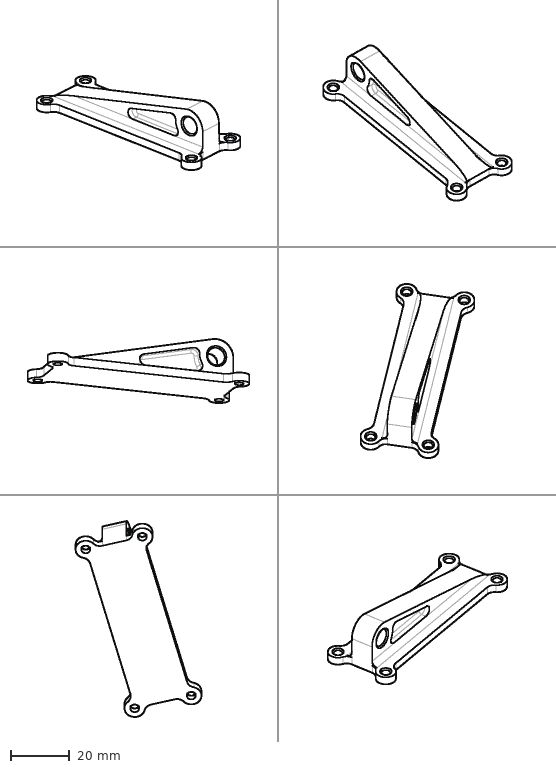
import cadquery as cq
import math

length = 73.0
width = 27.0
height = 17.1
plate_thickness = 3.0
ear_radius = 3.5
ear_blend_radius = 3.0
plate_half_length = length / 2 - ear_radius
plate_half_width = width / 2 - ear_radius
ear_hole_diameter = 3.0
hole_chamfer = 0.5
countersink_angle = 90

web_thickness = 8.5
foot_radius = 2.0
tip_height = 0.15
boss_radius = 6.1
cross_hole_diameter = 6.2
boss_x = plate_half_length - boss_radius
boss_z = height - boss_radius
tip_x = -plate_half_length
tip_z = plate_thickness + tip_height

pocket_depth = 3.0
pocket_margin = 2.1
pocket_corner_radius = 2.0
pocket_floor_radius = 1.0
pocket_bottom_z = plate_thickness + foot_radius

tip_to_boss = math.hypot(boss_x - tip_x, boss_z - tip_z)
slope_angle = math.atan2(boss_z - tip_z, boss_x - tip_x) + math.asin(boss_radius / tip_to_boss)


def boss_point(radius, angle):
    """Point at the given radius and angle around the cross hole axis."""
    return boss_x + radius * math.cos(angle), boss_z + radius * math.sin(angle)


def make_plate():
    plate = cq.Workplane("XY").box(
        2 * plate_half_length, 2 * plate_half_width, plate_thickness, centered=(True, True, False)
    )
    ears = (
        cq.Workplane("XY")
        .rect(2 * plate_half_length, 2 * plate_half_width, forConstruction=True)
        .vertices()
        .circle(ear_radius)
        .extrude(plate_thickness)
    )
    blend_reach = math.sqrt((ear_radius + ear_blend_radius) ** 2 - ear_blend_radius**2)
    touch_ratio = ear_radius / (ear_radius + ear_blend_radius)
    touch_along = blend_reach * touch_ratio
    touch_out = ear_blend_radius * touch_ratio
    half_turn = math.atan2(blend_reach, ear_blend_radius) / 2
    middle_along = blend_reach - ear_blend_radius * math.sin(half_turn)
    middle_out = ear_blend_radius * (1 - math.cos(half_turn))
    side_blend = (
        cq.Workplane("XY")
        .lineTo(-blend_reach, 0)
        .threePointArc((-middle_along, middle_out), (-touch_along, touch_out))
        .close()
        .extrude(plate_thickness)
    )
    end_blend = (
        cq.Workplane("XY")
        .lineTo(0, -blend_reach)
        .threePointArc((middle_out, -middle_along), (touch_out, -touch_along))
        .close()
        .extrude(plate_thickness)
    )
    for blend in (side_blend, end_blend):
        corner = blend.translate((plate_half_length, plate_half_width, 0))
        both_ends = corner.union(corner.mirror("YZ"))
        plate = plate.union(both_ends).union(both_ends.mirror("XZ"))
    return plate.union(ears)


def make_web():
    half_web = web_thickness / 2
    half_foot = half_web + foot_radius
    foot_top = plate_thickness + foot_radius
    section = (
        cq.Workplane("YZ", origin=(-plate_half_length, 0, 0))
        .moveTo(-half_foot, 0)
        .lineTo(half_foot, 0)
        .lineTo(half_foot, plate_thickness)
        .radiusArc((half_web, foot_top), foot_radius)
        .lineTo(half_web, height)
        .lineTo(-half_web, height)
        .lineTo(-half_web, foot_top)
        .radiusArc((-half_foot, plate_thickness), foot_radius)
        .close()
        .extrude(2 * plate_half_length)
    )
    profile = (
        cq.Workplane("XZ")
        .moveTo(tip_x, 0)
        .lineTo(plate_half_length, 0)
        .lineTo(plate_half_length, boss_z)
        .threePointArc(
            boss_point(boss_radius, (slope_angle + math.pi / 2) / 2),
            boss_point(boss_radius, slope_angle + math.pi / 2),
        )
        .lineTo(tip_x, tip_z)
        .close()
        .extrude(half_foot, both=True)
    )
    return section.intersect(profile)


def make_pocket():
    """Pocket cutter for the -Y face, its upper edge parallel to the slope."""
    margin_end = boss_point(boss_radius - pocket_margin, slope_angle + math.pi / 2)
    corner_x = margin_end[0] - (margin_end[1] - pocket_bottom_z) / math.tan(slope_angle)
    face = cq.Workplane("XZ", origin=(0, pocket_depth - web_thickness / 2, 0))
    wedge = (
        face.moveTo(corner_x, pocket_bottom_z)
        .lineTo(boss_x, pocket_bottom_z)
        .lineTo(boss_x, boss_z)
        .lineTo(*margin_end)
        .close()
        .extrude(pocket_depth)
    )
    boss = face.center(boss_x, boss_z).circle(boss_radius).extrude(pocket_depth)
    pocket = wedge.cut(boss).edges("|Y").fillet(pocket_corner_radius)
    return pocket.faces(">Y").edges().fillet(pocket_floor_radius)


def make_cross_hole():
    """Through hole along Y, chamfered at both faces of the web."""
    waist = web_thickness / 2 - hole_chamfer
    radius = cross_hole_diameter / 2
    hole = (
        cq.Workplane("XY")
        .polyline([
            (0, -web_thickness / 2),
            (radius + hole_chamfer, -web_thickness / 2),
            (radius, -waist),
            (radius, waist),
            (radius + hole_chamfer, web_thickness / 2),
            (0, web_thickness / 2),
        ])
        .close()
        .revolve(360, (0, 0), (0, 1))
    )
    return hole.translate((boss_x, 0, boss_z))


pocket = make_pocket()
body = make_plate().union(make_web())
body = body.cut(pocket).cut(pocket.mirror("XZ")).cut(make_cross_hole())

result = (
    body.copyWorkplane(cq.Workplane("XY", origin=(0, 0, plate_thickness)))
    .rect(2 * plate_half_length, 2 * plate_half_width, forConstruction=True)
    .vertices()
    .cskHole(ear_hole_diameter, ear_hole_diameter + 2 * hole_chamfer, countersink_angle)
)